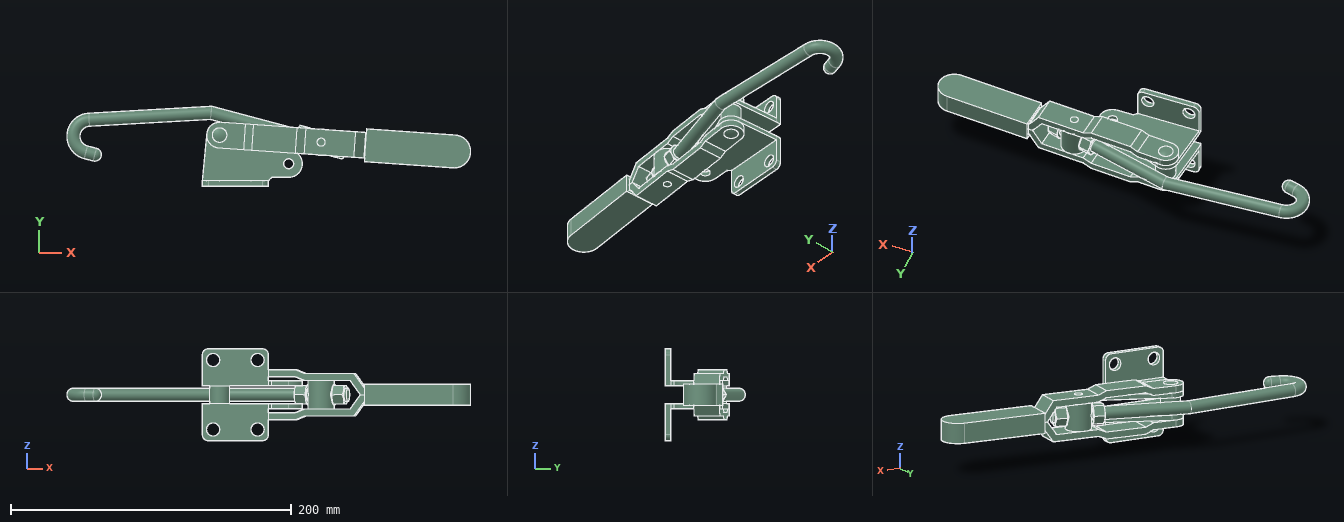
import cadquery as cq
import math


BRACKET_INNER = 6.3
BRACKET_THICKNESS = 3.7
LEVER_INNER = BRACKET_INNER + BRACKET_THICKNESS
LEVER_THICKNESS = 5.2
LEVER_OUTER = LEVER_INNER + LEVER_THICKNESS
LEVER_BULGE = 2.5

EYE_RADIUS = 9.2
LUG_X = 49.3
LUG_Y = -20.5
LUG_RADIUS = 9.8
LUG_HOLE_RADIUS = 3.5
FLANGE_LEFT = -12.5
FLANGE_RIGHT = 35.0
FLANGE_BOTTOM = -36.5
FLANGE_THICKNESS = 4.0
FLANGE_TOP = FLANGE_BOTTOM + FLANGE_THICKNESS
FLANGE_HALF_WIDTH = 33.0
FLANGE_CORNER_RADIUS = 4.3
SCREW_HOLE_RADIUS = 4.5
SCREW_HOLE_EDGE_DISTANCE = 7.8
SCREW_HOLE_Z = 24.8

PIN_RADIUS = 5.2
PIN_SPACER_RADIUS = 7.2
PIN_DOME_HEIGHT = 1.2

HANDLE_TILT = -4.0
LEVER_WIDTH = 2 * EYE_RADIUS
BULGE_RISE_START = 18.0
BULGE_RISE_END = 23.5
BULGE_FALL_START = 54.8
BULGE_FALL_END = 61.0
CLOSING_START = 94.0
CLOSING_END = 101.2

GRIP_START = 104.5
GRIP_WIDTH = 23.5
GRIP_HALF_THICKNESS = 7.5
GRIP_END_CENTRE = 167.8
TANG_LENGTH = 57.7
TANG_END = GRIP_START + TANG_LENGTH

BARREL_DISTANCE = 72.7
BARREL_RADIUS = 9.5
BARREL_STUB_RADIUS = 3.0

ROD_DIAMETER = 9.5
ROD_RADIUS = ROD_DIAMETER / 2
ROD_BEND = cq.Vector(-6.0, 16.0, 0)
HOOK_START = cq.Vector(-93.0, 11.0, 0)
HOOK_BEND_RADIUS = 11.8
HOOK_END_ANGLE = 14.7
HOOK_TAIL = 6.5
ROD_END_PAST_BARREL = 20.0
WASHER_RADIUS = 7.5
WASHER_THICKNESS = 0.3
NUT_ACROSS_FLATS = 13.5
NUT_HEIGHT = 8.5
NUT_CHAMFER_ANGLE = 30.0

BARREL_CENTRE = cq.Vector(
    BARREL_DISTANCE * math.cos(math.radians(HANDLE_TILT)),
    BARREL_DISTANCE * math.sin(math.radians(HANDLE_TILT)),
    0,
)
ROD_DIRECTION = (BARREL_CENTRE - ROD_BEND).normalized()


def cylinder_across(radius, half_length, x=0, y=0):
    """Cylinder parallel to Z and centred on the mid-plane."""
    return cq.Workplane("XY", origin=(x, y, -half_length)).circle(radius).extrude(2 * half_length)


def mirrored_pair(upper_body):
    """Upper body and its copy on the other side of the mid-plane."""
    return [upper_body, upper_body.mirror("XY")]


def tilt_with_handle(body):
    """Body built along X, turned about the pivot axis to the slope of the handle."""
    return body.rotate((0, 0, 0), (0, 0, 1), HANDLE_TILT)


def polar(radius, angle):
    """X and Y of a point at a radius and an angle in degrees."""
    return radius * math.cos(math.radians(angle)), radius * math.sin(math.radians(angle))


def make_bracket():
    """Upper L-bracket: a web with a pivot eye and a drilled lug, and a screw flange below it."""
    eye_to_lug = math.hypot(LUG_X, LUG_Y)
    lug_angle = math.degrees(math.atan2(LUG_Y, LUG_X))
    tangent_angle = lug_angle + math.degrees(math.acos((EYE_RADIUS - LUG_RADIUS) / eye_to_lug))
    eye_right = polar(EYE_RADIUS, tangent_angle)
    lug_offset = polar(LUG_RADIUS, tangent_angle)
    lug_top = (LUG_X + lug_offset[0], LUG_Y + lug_offset[1])

    corner_distance = math.hypot(FLANGE_LEFT, FLANGE_TOP)
    corner_angle = math.degrees(math.atan2(FLANGE_TOP, FLANGE_LEFT))
    eye_left_angle = corner_angle - math.degrees(math.acos(EYE_RADIUS / corner_distance))
    eye_left = polar(EYE_RADIUS, eye_left_angle)
    eye_middle = polar(EYE_RADIUS, (eye_left_angle + 360 + tangent_angle) / 2)

    lug_bottom = LUG_Y - LUG_RADIUS
    web = (
        cq.Workplane("XY", origin=(0, 0, BRACKET_INNER))
        .moveTo(FLANGE_LEFT, FLANGE_BOTTOM)
        .lineTo(FLANGE_LEFT, FLANGE_TOP)
        .lineTo(*eye_left)
        .threePointArc(eye_middle, eye_right)
        .lineTo(*lug_top)
        .threePointArc((LUG_X + LUG_RADIUS, LUG_Y), (LUG_X, lug_bottom))
        .lineTo(FLANGE_RIGHT + lug_bottom - FLANGE_TOP, lug_bottom)
        .lineTo(FLANGE_RIGHT, FLANGE_TOP)
        .lineTo(FLANGE_RIGHT, FLANGE_BOTTOM)
        .close()
        .extrude(BRACKET_THICKNESS)
    )
    flange = (
        cq.Workplane("XY")
        .box(
            FLANGE_RIGHT - FLANGE_LEFT,
            FLANGE_THICKNESS,
            FLANGE_HALF_WIDTH - BRACKET_INNER,
            centered=False,
        )
        .translate((FLANGE_LEFT, FLANGE_BOTTOM, BRACKET_INNER))
        .edges("|Y and >Z")
        .fillet(FLANGE_CORNER_RADIUS)
    )
    bracket = web.union(flange)
    for hole_x in (FLANGE_LEFT + SCREW_HOLE_EDGE_DISTANCE, FLANGE_RIGHT - SCREW_HOLE_EDGE_DISTANCE):
        screw_hole = (
            cq.Workplane("XZ", origin=(hole_x, FLANGE_TOP, SCREW_HOLE_Z))
            .circle(SCREW_HOLE_RADIUS)
            .extrude(FLANGE_THICKNESS)
        )
        bracket = bracket.cut(screw_hole)
    bracket = bracket.cut(cylinder_across(PIN_RADIUS, LEVER_INNER))
    return bracket.cut(cylinder_across(LUG_HOLE_RADIUS, LEVER_INNER, LUG_X, LUG_Y))


def make_pivot_pin():
    """Pin with a thicker spacer between the brackets and a dome on each end."""
    dome_peak = LEVER_OUTER + PIN_DOME_HEIGHT
    dome_radius = (PIN_RADIUS**2 + PIN_DOME_HEIGHT**2) / (2 * PIN_DOME_HEIGHT)
    half_dome_angle = math.degrees(math.asin(PIN_RADIUS / dome_radius)) / 2
    dome_x, dome_z = polar(dome_radius, 90 - half_dome_angle)
    dome_centre_z = dome_peak - dome_radius
    return (
        cq.Workplane("XZ")
        .moveTo(0, -dome_peak)
        .threePointArc((dome_x, -dome_centre_z - dome_z), (PIN_RADIUS, -LEVER_OUTER))
        .lineTo(PIN_RADIUS, -BRACKET_INNER)
        .lineTo(PIN_SPACER_RADIUS, -BRACKET_INNER)
        .lineTo(PIN_SPACER_RADIUS, BRACKET_INNER)
        .lineTo(PIN_RADIUS, BRACKET_INNER)
        .lineTo(PIN_RADIUS, LEVER_OUTER)
        .threePointArc((dome_x, dome_centre_z + dome_z), (0, dome_peak))
        .close()
        .revolve(360, (0, 0), (0, 1))
    )


def make_lever():
    """Upper half of the handle: a cranked strip with a round pivot end and a tang for the grip."""
    closing_slope = math.atan2(LEVER_INNER, CLOSING_END - CLOSING_START)
    outer_shift = LEVER_THICKNESS * math.tan(closing_slope / 2)
    strip = (
        cq.Workplane("XZ", origin=(0, LEVER_WIDTH / 2, 0))
        .polyline(
            [
                (-EYE_RADIUS, LEVER_INNER),
                (BULGE_RISE_START, LEVER_INNER),
                (BULGE_RISE_END, LEVER_INNER + LEVER_BULGE),
                (BULGE_FALL_START, LEVER_INNER + LEVER_BULGE),
                (BULGE_FALL_END, LEVER_INNER),
                (CLOSING_START, LEVER_INNER),
                (CLOSING_END, 0),
                (TANG_END, 0),
                (TANG_END, LEVER_THICKNESS),
                (CLOSING_END + outer_shift, LEVER_THICKNESS),
                (CLOSING_START + outer_shift, LEVER_OUTER),
                (BULGE_FALL_END, LEVER_OUTER),
                (BULGE_FALL_START, LEVER_OUTER + LEVER_BULGE),
                (BULGE_RISE_END, LEVER_OUTER + LEVER_BULGE),
                (BULGE_RISE_START, LEVER_OUTER),
                (-EYE_RADIUS, LEVER_OUTER),
            ]
        )
        .close()
        .extrude(LEVER_WIDTH)
    )
    plan = (
        cq.Workplane("XY")
        .moveTo(0, EYE_RADIUS)
        .threePointArc((-EYE_RADIUS, 0), (0, -EYE_RADIUS))
        .lineTo(TANG_END, -EYE_RADIUS)
        .lineTo(TANG_END, EYE_RADIUS)
        .close()
        .extrude(LEVER_OUTER + LEVER_BULGE)
    )
    stub_hole = cylinder_across(BARREL_STUB_RADIUS, LEVER_OUTER, BARREL_DISTANCE)
    pin_hole = cylinder_across(PIN_RADIUS, LEVER_OUTER)
    return tilt_with_handle(strip.intersect(plan).cut(stub_hole).cut(pin_hole))


def make_grip():
    """Flat grip with a round end and a pocket that the two tangs fill."""
    half_width = GRIP_WIDTH / 2
    grip = (
        cq.Workplane("XY", origin=(0, 0, -GRIP_HALF_THICKNESS))
        .moveTo(GRIP_START, -half_width)
        .lineTo(GRIP_END_CENTRE, -half_width)
        .threePointArc((GRIP_END_CENTRE + half_width, 0), (GRIP_END_CENTRE, half_width))
        .lineTo(GRIP_START, half_width)
        .close()
        .extrude(2 * GRIP_HALF_THICKNESS)
    )
    tang_pocket = cq.Workplane("XY", origin=((GRIP_START + TANG_END) / 2, 0, 0)).box(
        TANG_LENGTH, LEVER_WIDTH, 2 * LEVER_THICKNESS
    )
    return tilt_with_handle(grip.cut(tang_pocket))


def rod_plane(distance, side=1):
    """Plane square to the rod at a distance from the barrel axis, facing away from the barrel.

    The side is 1 towards the rod end and -1 towards the hook.
    """
    outward = ROD_DIRECTION * side
    return cq.Plane(BARREL_CENTRE + outward * distance, (0, 0, 1), outward)


def make_hook_rod():
    """Round rod, bent over the pivot and curled to a round-nosed hook."""
    rod_end = BARREL_CENTRE + ROD_DIRECTION * ROD_END_PAST_BARREL
    shank = ROD_BEND - HOOK_START
    shank_angle = math.degrees(math.atan2(shank.y, shank.x))
    hook_centre = HOOK_START + cq.Vector(*polar(HOOK_BEND_RADIUS, shank_angle - 90))
    hook_start_angle = shank_angle + 90
    hook_end_angle = 270 - HOOK_END_ANGLE
    hook_middle = hook_centre + cq.Vector(
        *polar(HOOK_BEND_RADIUS, (hook_start_angle + hook_end_angle) / 2)
    )
    hook_end = hook_centre + cq.Vector(*polar(HOOK_BEND_RADIUS, hook_end_angle))
    nose_centre = hook_end + cq.Vector(*polar(HOOK_TAIL, -HOOK_END_ANGLE))
    path = (
        cq.Workplane("XY")
        .moveTo(rod_end.x, rod_end.y)
        .lineTo(ROD_BEND.x, ROD_BEND.y)
        .lineTo(HOOK_START.x, HOOK_START.y)
        .threePointArc(hook_middle.toTuple()[:2], hook_end.toTuple()[:2])
        .lineTo(nose_centre.x, nose_centre.y)
    )
    rod = (
        cq.Workplane(rod_plane(ROD_END_PAST_BARREL))
        .circle(ROD_RADIUS)
        .sweep(path, transition="right")
    )
    nose = cq.Workplane("XY").sphere(ROD_RADIUS).translate(nose_centre)
    return rod.union(nose)


def make_washer(side):
    """Thin round washer against the barrel."""
    return cq.Workplane(rod_plane(BARREL_RADIUS, side)).circle(WASHER_RADIUS).extrude(WASHER_THICKNESS)


def make_nut(side):
    """Hexagon nut against the washer, with the corners chamfered at the far end."""
    corner_radius = NUT_ACROSS_FLATS / math.sqrt(3)
    chamfer_width = corner_radius - NUT_ACROSS_FLATS / 2
    chamfer_height = chamfer_width * math.tan(math.radians(NUT_CHAMFER_ANGLE))
    seat = rod_plane(BARREL_RADIUS + WASHER_THICKNESS, side)
    hexagon = (
        cq.Workplane(seat)
        .transformed(rotate=(0, 0, 30))
        .polygon(6, 2 * corner_radius)
        .extrude(NUT_HEIGHT)
    )
    turned_blank = (
        cq.Workplane(seat)
        .circle(corner_radius)
        .extrude(NUT_HEIGHT)
        .faces(cq.selectors.DirectionMinMaxSelector(seat.zDir))
        .edges()
        .chamfer(chamfer_height, chamfer_width)
    )
    return hexagon.intersect(turned_blank)


def make_hook():
    """Hook rod with the barrel clamped between two washers and nuts, as one body."""
    barrel = cylinder_across(BARREL_RADIUS, LEVER_INNER, BARREL_CENTRE.x, BARREL_CENTRE.y)
    stub = cylinder_across(BARREL_STUB_RADIUS, LEVER_OUTER, BARREL_CENTRE.x, BARREL_CENTRE.y)
    hook = make_hook_rod().union(barrel).union(stub)
    for side in (1, -1):
        hook = hook.union(make_washer(side)).union(make_nut(side))
    return hook


brackets = mirrored_pair(make_bracket())
pivot_pin = make_pivot_pin()
levers = mirrored_pair(make_lever())
grip = make_grip()
hook = make_hook()

result = cq.Compound.makeCompound(
    [
        *[bracket.val() for bracket in brackets],
        pivot_pin.val(),
        *[lever.val() for lever in levers],
        grip.val(),
        hook.val(),
    ]
)